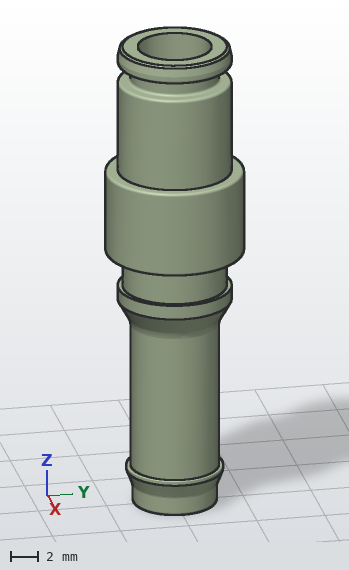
import cadquery as cq

LENGTH = 35.1
BORE_DIA = 5.3

TIP_DIA = 6.1
BARB_DIA = 7.0
STEM_DIA = 6.4
BODY_DIA = 8.2
NECK_DIA = 7.5
COLLAR_DIA = 10.0
HEAD_TOP_DIA = 7.95
HEAD_FACE_DIA = 7.5

BARB_ROOT_Z = 1.4
BARB_CONE_TOP_Z = 2.53
BARB_TOP_Z = 2.85
STEM_TOP_Z = 14.0
RING_BOTTOM_Z = 15.62
RING_TOP_Z = 16.67
COLLAR_BOTTOM_Z = 19.3
COLLAR_TOP_Z = 25.62
BODY_TOP_Z = 32.5
HEAD_BOTTOM_Z = 33.8

HEAD_CONE_LENGTH = 0.77
HEAD_FACE_BEVEL = 0.15

TIP_RADIUS = 0.25
EDGE_RADIUS = 0.2
BARB_RIM_RADIUS = 0.07
BARB_ROOT_RADIUS = 0.28
TAPER_ROOT_RADIUS = 1.05


def revolve_outline():
    """Revolve the stepped outer outline about the Z axis."""
    outline = [
        (0, 0),
        (TIP_DIA / 2, 0),
        (TIP_DIA / 2, BARB_ROOT_Z),
        (BARB_DIA / 2, BARB_CONE_TOP_Z),
        (BARB_DIA / 2, BARB_TOP_Z),
        (STEM_DIA / 2, BARB_TOP_Z),
        (STEM_DIA / 2, STEM_TOP_Z),
        (BODY_DIA / 2, RING_BOTTOM_Z),
        (BODY_DIA / 2, RING_TOP_Z),
        (NECK_DIA / 2, RING_TOP_Z),
        (NECK_DIA / 2, COLLAR_BOTTOM_Z),
        (COLLAR_DIA / 2, COLLAR_BOTTOM_Z),
        (COLLAR_DIA / 2, COLLAR_TOP_Z),
        (BODY_DIA / 2, COLLAR_TOP_Z),
        (BODY_DIA / 2, BODY_TOP_Z),
        (STEM_DIA / 2, BODY_TOP_Z),
        (STEM_DIA / 2, HEAD_BOTTOM_Z),
        (BODY_DIA / 2, HEAD_BOTTOM_Z),
        (BODY_DIA / 2, LENGTH - HEAD_CONE_LENGTH),
        (HEAD_TOP_DIA / 2, LENGTH - HEAD_FACE_BEVEL),
        (HEAD_FACE_DIA / 2, LENGTH),
        (0, LENGTH),
    ]
    return cq.Workplane("XZ").polyline(outline).close().revolve(360, (0, 0), (0, 1))


def round_edge(part, diameter, height, radius):
    """Round the circular edge of the given diameter at the given height."""
    tolerance = 0.005
    reach = diameter / 2 + tolerance
    level = cq.selectors.BoxSelector(
        (-reach, -reach, height - tolerance),
        (reach, reach, height + tolerance),
        boundingbox=True,
    )
    return part.edges(level).edges(cq.selectors.RadiusNthSelector(-1)).fillet(radius)


result = revolve_outline()
for edge_dia, edge_z, radius in (
    (TIP_DIA, 0, TIP_RADIUS),
    (TIP_DIA, BARB_ROOT_Z, BARB_ROOT_RADIUS),
    (BARB_DIA, BARB_TOP_Z, BARB_RIM_RADIUS),
    (STEM_DIA, STEM_TOP_Z, TAPER_ROOT_RADIUS),
    (COLLAR_DIA, COLLAR_BOTTOM_Z, EDGE_RADIUS),
    (COLLAR_DIA, COLLAR_TOP_Z, EDGE_RADIUS),
    (BODY_DIA, BODY_TOP_Z, EDGE_RADIUS),
    (STEM_DIA, BODY_TOP_Z, EDGE_RADIUS),
    (STEM_DIA, HEAD_BOTTOM_Z, EDGE_RADIUS),
    (BODY_DIA, HEAD_BOTTOM_Z, EDGE_RADIUS),
):
    result = round_edge(result, edge_dia, edge_z, radius)

result = result.cut(cq.Workplane("XY").circle(BORE_DIA / 2).extrude(LENGTH))